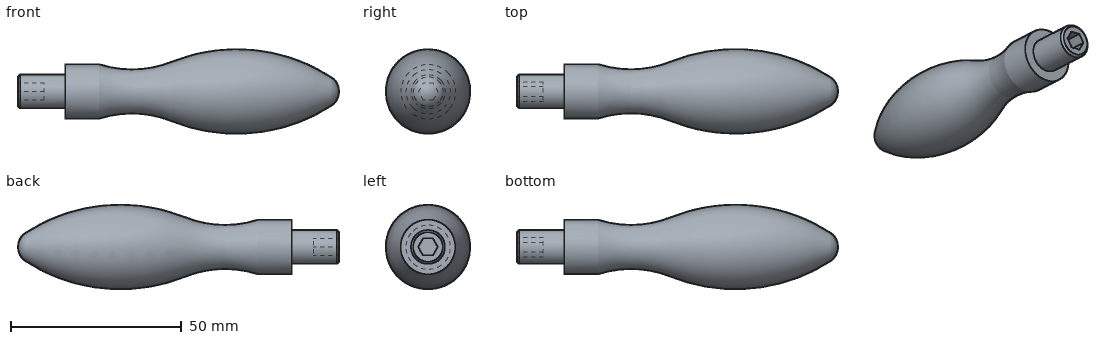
import cadquery as cq
import math

LENGTH = 94.0
COLLAR_START = 13.8
COLLAR_END = 23.8
NECK_X = 33.4
BELLY_X = 64.0

SHANK_RADIUS = 5.0
COLLAR_RADIUS = 8.0
NECK_RADIUS = 6.5
BELLY_RADIUS = 12.4

TIP_RADIUS = 5.0
SHANK_CHAMFER = 0.7
HEX_ACROSS_FLATS = 5.0
HEX_DEPTH = 7.5


def point_on_circle(center, radius, angle):
    return (center[0] + radius * math.cos(angle), center[1] + radius * math.sin(angle))


tip_center = (LENGTH - TIP_RADIUS, 0)
tip_offset = tip_center[0] - BELLY_X
belly_arc = (tip_offset**2 + BELLY_RADIUS**2 - TIP_RADIUS**2) / (2 * (BELLY_RADIUS - TIP_RADIUS))
belly_center = (BELLY_X, BELLY_RADIUS - belly_arc)

swell = BELLY_RADIUS - NECK_RADIUS
neck_to_belly = BELLY_X - NECK_X
neck_arc = (neck_to_belly**2 + swell**2) / (2 * swell) - belly_arc
neck_center = (NECK_X, NECK_RADIUS + neck_arc)

inflection_angle = math.atan2(neck_center[1] - belly_center[1], neck_center[0] - belly_center[0])
inflection = point_on_circle(belly_center, belly_arc, inflection_angle)
tip_angle = math.atan2(tip_center[1] - belly_center[1], tip_offset)
tip_start = point_on_circle(tip_center, TIP_RADIUS, tip_angle)
tip_middle = point_on_circle(tip_center, TIP_RADIUS, tip_angle / 2)
neck_middle_angle = (inflection_angle - math.pi - math.pi / 2) / 2
neck_middle = point_on_circle(neck_center, neck_arc, neck_middle_angle)


def handle_body():
    """Revolve the half outline about the X axis."""
    outline = (
        cq.Workplane("XY")
        .moveTo(0, 0)
        .lineTo(0, SHANK_RADIUS - SHANK_CHAMFER)
        .lineTo(SHANK_CHAMFER, SHANK_RADIUS)
        .lineTo(COLLAR_START, SHANK_RADIUS)
        .lineTo(COLLAR_START, COLLAR_RADIUS)
        .lineTo(COLLAR_END, COLLAR_RADIUS)
    )
    flare_length = NECK_X - COLLAR_END
    flare_drop = COLLAR_RADIUS - NECK_RADIUS
    flare_arc = (flare_length**2 + flare_drop**2) / (2 * flare_drop)
    flare_half_angle = math.asin(flare_length / flare_arc) / 2
    flare_center = (NECK_X, NECK_RADIUS + flare_arc)
    flare_middle = point_on_circle(flare_center, flare_arc, -math.pi / 2 - flare_half_angle)
    outline = (
        outline.threePointArc(flare_middle, (NECK_X, NECK_RADIUS))
        .threePointArc(neck_middle, inflection)
        .threePointArc((BELLY_X, BELLY_RADIUS), tip_start)
        .threePointArc(tip_middle, (LENGTH, 0))
        .close()
    )
    return outline.revolve(360, (0, 0, 0), (1, 0, 0))


def hex_socket():
    """Hexagonal key socket in the shank end, with two corners along Y."""
    across_corners = HEX_ACROSS_FLATS / math.cos(math.pi / 6)
    return cq.Workplane("YZ").polygon(6, across_corners).extrude(HEX_DEPTH)


result = handle_body().cut(hex_socket())